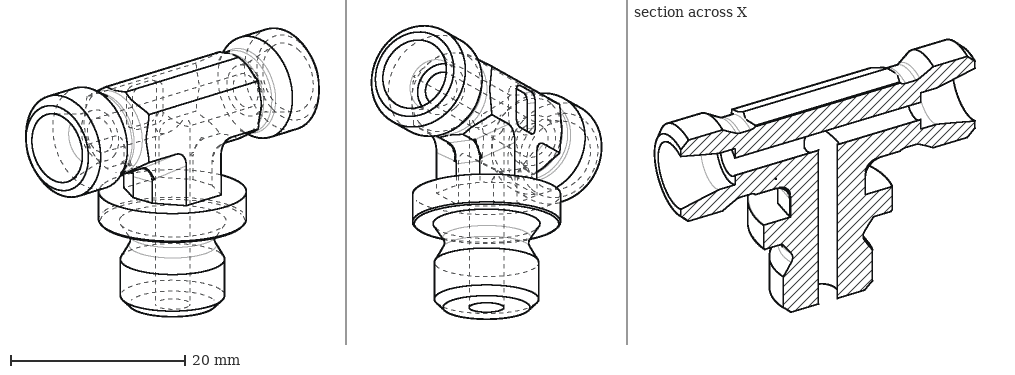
import cadquery as cq
import math

across_flats = 10.0
cut_flat_half = 4.9
hexagon_slope = math.tan(math.radians(30))
body_half_length = 10.0
corner_fillet = 2.0
position_tolerance = 0.001

run_half_length = 19.0
thread_radius = 6.0
end_chamfer = 1.0
thread_length = 5.4
neck_radius = 4.85
neck_fillet = 1.0
taper_angle = math.radians(30)

bore_radius = 2.0
tube_socket_radius = 3.0
tube_socket_depth = 7.0
cone_mouth_radius = 4.05
cone_angle = math.radians(12)

stud_length = 23.0
collar_radius = 8.5
collar_top = -9.45
collar_bottom = -13.0
collar_top_chamfer = 0.1
collar_top_bevel_angle = math.radians(15)
collar_bottom_chamfer = 0.2
collar_taper_angle = math.radians(34)
groove_fillet = 1.2

badge_size = 5.0
badge_corner_radius = 1.0
badge_depth = 1.0


def octagon_bar(workplane, length):
    """Bar with its hexagon flats at X = +/- half width and its cut corners across the other axis."""
    flat = across_flats / 2
    side = flat * hexagon_slope
    cut = (2 * side - cut_flat_half) / hexagon_slope
    quarter = [(flat, side), (cut, cut_flat_half)]
    upper = quarter + [(-x, y) for x, y in reversed(quarter)]
    lower = [(-x, -y) for x, y in upper]
    return workplane.polyline(upper + lower).close().extrude(length)


def make_body():
    """Run and branch bars joined in a tee, with the inside corners rounded."""
    run = octagon_bar(cq.Workplane("XZ", origin=(0, body_half_length, 0)), 2 * body_half_length)
    branch = octagon_bar(cq.Workplane("XY"), collar_top)
    tee = run.union(branch)

    def on_inside_corner(edge):
        middle = edge.Center()
        return middle.z < 0 and abs(abs(middle.y) + middle.z) < position_tolerance

    corners = [edge for edge in tee.edges().vals() if on_inside_corner(edge)]
    return tee.newObject(corners).fillet(corner_fillet)


def arc_to_taper(radius, angle):
    """Axial and radial size of an arc that turns by the angle away from the axis direction."""
    return radius * math.sin(angle), radius * (1 - math.cos(angle))


def taper_length(root_radius):
    """Axial length of the taper from the root radius out to the thread."""
    return (thread_radius - root_radius) / math.tan(taper_angle)


def make_tube_end():
    """Neck, thread and end chamfer at the +Y end."""
    thread_start = run_half_length - thread_length
    arc_length, arc_rise = arc_to_taper(neck_fillet, taper_angle)
    taper_root = neck_radius + arc_rise
    taper_start = thread_start - taper_length(taper_root)
    neck_end = taper_start - arc_length
    half_arc_length, half_arc_rise = arc_to_taper(neck_fillet, taper_angle / 2)
    arc_middle = (neck_radius + half_arc_rise, neck_end + half_arc_length)
    return (
        cq.Workplane("XY")
        .moveTo(0, body_half_length)
        .lineTo(neck_radius, body_half_length)
        .lineTo(neck_radius, neck_end)
        .threePointArc(arc_middle, (taper_root, taper_start))
        .lineTo(thread_radius, thread_start)
        .lineTo(thread_radius, run_half_length - end_chamfer)
        .lineTo(thread_radius - end_chamfer, run_half_length)
        .lineTo(0, run_half_length)
        .close()
        .revolve(360, (0, 0, 0), (0, 1, 0))
    )


def make_end_trim():
    """Ring with a concave inner profile that rounds the octagon down to the neck at +Y."""
    flare_radius = neck_radius + neck_fillet
    flare_start = body_half_length - neck_fillet
    arc_middle_offset = neck_fillet * math.sin(math.radians(45))
    return (
        cq.Workplane("XY")
        .moveTo(flare_radius, flare_start)
        .threePointArc(
            (flare_radius - arc_middle_offset, body_half_length - arc_middle_offset),
            (neck_radius, body_half_length),
        )
        .lineTo(flare_radius, body_half_length)
        .close()
        .revolve(360, (0, 0, 0), (0, 1, 0))
    )


def make_tube_socket():
    """Sealing cone and tube socket at the +Y end."""
    cone_length = (cone_mouth_radius - tube_socket_radius) / math.tan(cone_angle)
    socket_bottom = run_half_length - tube_socket_depth
    profile = [
        (0, socket_bottom),
        (tube_socket_radius, socket_bottom),
        (tube_socket_radius, run_half_length - cone_length),
        (cone_mouth_radius, run_half_length),
        (0, run_half_length),
    ]
    return cq.Workplane("XY").polyline(profile).close().revolve(360, (0, 0, 0), (0, 1, 0))


def make_stud():
    """Collar, grooved neck, thread and end chamfer along -Z."""
    thread_start = -stud_length + thread_length
    lower_arc_length, lower_arc_rise = arc_to_taper(groove_fillet, taper_angle)
    lower_root = neck_radius + lower_arc_rise
    lower_taper_end = thread_start + taper_length(lower_root)
    groove_waist = lower_taper_end + lower_arc_length

    upper_arc_length, upper_arc_rise = arc_to_taper(groove_fillet, collar_taper_angle)
    upper_root = neck_radius + upper_arc_rise
    upper_taper_start = groove_waist + upper_arc_length
    collar_inner_radius = upper_root + (collar_bottom - upper_taper_start) * math.tan(collar_taper_angle)
    bevel_drop = collar_top_chamfer * math.tan(collar_top_bevel_angle)
    return (
        cq.Workplane("XZ")
        .moveTo(0, collar_top)
        .lineTo(collar_radius - collar_top_chamfer, collar_top)
        .lineTo(collar_radius, collar_top - bevel_drop)
        .lineTo(collar_radius, collar_bottom + collar_bottom_chamfer)
        .lineTo(collar_radius - collar_bottom_chamfer, collar_bottom)
        .lineTo(collar_inner_radius, collar_bottom)
        .lineTo(upper_root, upper_taper_start)
        .threePointArc((neck_radius, groove_waist), (lower_root, lower_taper_end))
        .lineTo(thread_radius, thread_start)
        .lineTo(thread_radius, -stud_length + end_chamfer)
        .lineTo(thread_radius - end_chamfer, -stud_length)
        .lineTo(0, -stud_length)
        .close()
        .revolve(360, (0, 0, 0), (0, 1, 0))
    )


def make_badge_pocket():
    """Shallow rounded square centred on the run axis, sunk into the -X face."""
    return (
        cq.Workplane("YZ", origin=(-across_flats / 2, 0, 0))
        .rect(badge_size, badge_size)
        .extrude(badge_depth)
        .edges("|X")
        .fillet(badge_corner_radius)
    )


def both_run_ends(shape):
    """The +Y shape together with its mirror image at the -Y end."""
    return [shape, shape.mirror("XZ")]


result = make_body()
for trim in both_run_ends(make_end_trim()):
    result = result.cut(trim)
for tube_end in both_run_ends(make_tube_end()):
    result = result.union(tube_end)
result = result.union(make_stud())

for socket in both_run_ends(make_tube_socket()):
    result = result.cut(socket)
run_bore = cq.Workplane("XZ").circle(bore_radius).extrude(run_half_length, both=True)
stud_bore = cq.Workplane("XY").circle(bore_radius).extrude(-stud_length)
result = result.cut(run_bore).cut(stud_bore).cut(make_badge_pocket())